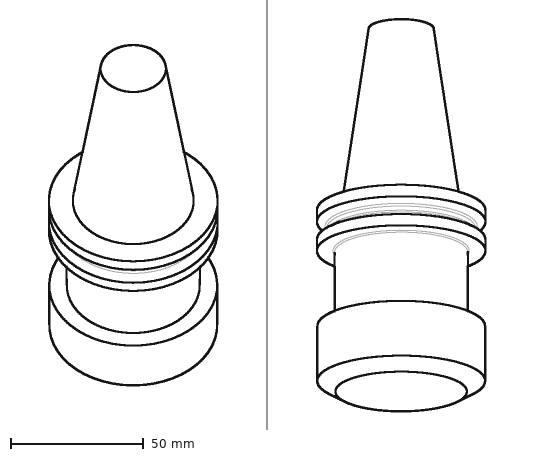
import cadquery as cq
import math

total_height = 143.1

nut_diameter = 63.3
nut_height = 25.8
nut_chamfer_height = 4.1
nut_face_diameter = 49.5

body_diameter = 50.1

flange_diameter = 63.5
flange_bottom = 55.5
flange_top = 71.5
lower_rim_height = 4.5
upper_rim_height = 4.6
groove_diameter = 56.2
groove_wall_angle = 30.0
groove_corner_radius = 1.0
neck_fillet_radius = 0.6

taper_large_diameter = 45.5
taper_small_diameter = 24.6


def disc(diameter, bottom, top):
    """Cylinder on the Z axis between two heights."""
    return cq.Workplane("XY").workplane(offset=bottom).circle(diameter / 2).extrude(top - bottom)


def cone(bottom_diameter, top_diameter, bottom, top):
    """Truncated cone on the Z axis between two heights."""
    profile = [
        (0, bottom),
        (bottom_diameter / 2, bottom),
        (top_diameter / 2, top),
        (0, top),
    ]
    return cq.Workplane("XZ").polyline(profile).close().revolve(360, (0, 0), (0, 1))


def make_nut():
    lower = cone(nut_face_diameter, nut_diameter, 0, nut_chamfer_height)
    return lower.union(disc(nut_diameter, nut_chamfer_height, nut_height))


def make_groove_ring():
    """Ring removed from the flange: sloped walls, flat floor and rounded floor corners."""
    groove_bottom = flange_bottom + lower_rim_height
    groove_top = flange_top - upper_rim_height
    outer_radius = flange_diameter / 2
    floor_radius = groove_diameter / 2
    wall_rise = (outer_radius - floor_radius) * math.tan(math.radians(groove_wall_angle))
    profile = [
        (outer_radius, groove_bottom),
        (floor_radius, groove_bottom + wall_rise),
        (floor_radius, groove_top - wall_rise),
        (outer_radius, groove_top),
    ]
    ring = cq.Workplane("XZ").polyline(profile).close().revolve(360, (0, 0), (0, 1))
    floor_corners = cq.selectors.RadiusNthSelector(0)
    return ring.edges("%CIRCLE").edges(floor_corners).fillet(groove_corner_radius)


def make_body_and_flange():
    body = disc(body_diameter, nut_height, flange_bottom)
    blank = body.union(disc(flange_diameter, flange_bottom, flange_top))
    body_rims = blank.edges("%CIRCLE").edges(cq.selectors.RadiusNthSelector(0))
    blank = body_rims.edges(">Z").fillet(neck_fillet_radius)
    return blank.cut(make_groove_ring())


shank = cone(taper_large_diameter, taper_small_diameter, flange_top, total_height)
result = make_nut().union(make_body_and_flange()).union(shank)